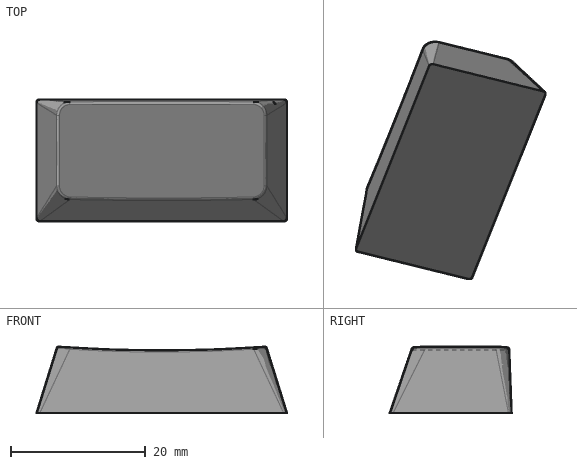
import cadquery as cq

base_length = 37.15
base_width = 18.1
base_corner_radius = 0.5

crown_height = 9.9
side_inset = 3.1
front_inset = 3.38
back_inset = 0.37
crown_corner_radius = 2.05
crown_length = base_length - 2 * side_inset
crown_width = base_width - front_inset - back_inset
crown_center_y = (front_inset - back_inset) / 2

dish_floor_height = 9.32
dish_depth = crown_height - dish_floor_height
dish_radius = ((crown_length / 2) ** 2 + dish_depth**2) / (2 * dish_depth)

rim_fillet_radius = 0.4


def rounded_outline(length, width, corner_radius, center_y, height):
    """Closed wire of a rectangle with rounded corners at a given height."""
    blank_height = corner_radius
    plane = cq.Plane(origin=(0, center_y, height))
    blank = cq.Workplane(plane).rect(length, width).extrude(blank_height)
    blank = blank.edges("|Z").fillet(corner_radius)
    return blank.faces("<Z").wires().val()


def tapered_body():
    """Solid cap whose corners widen from the base to the crown."""
    base = rounded_outline(base_length, base_width, base_corner_radius, 0, 0)
    crown = rounded_outline(crown_length, crown_width, crown_corner_radius, crown_center_y, crown_height)
    return cq.Workplane(cq.Solid.makeLoft([base, crown], True))


def dish_cutter():
    """Cylinder along Y that hollows the top, longer than the part is wide."""
    return (
        cq.Workplane("XZ")
        .center(0, dish_floor_height + dish_radius)
        .circle(dish_radius)
        .extrude(base_width, both=True)
    )


body = tapered_body().cut(dish_cutter())
result = body.faces("%CYLINDER").edges().fillet(rim_fillet_radius)